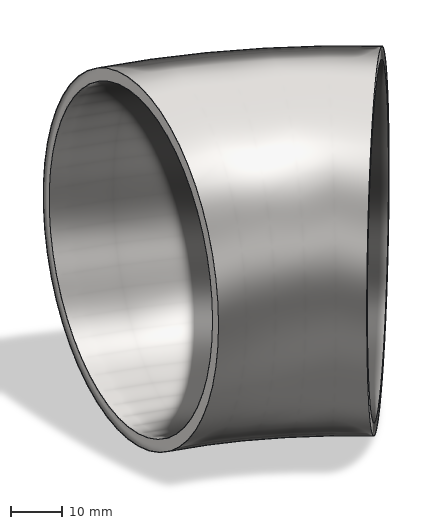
import cadquery as cq

outer_diameter = 76.1
wall_thickness = 2.6
bend_radius = 95.0
bend_angle = 30.0

outer_radius = outer_diameter / 2
inner_radius = outer_radius - wall_thickness

result = (
    cq.Workplane("XZ")
    .circle(outer_radius)
    .circle(inner_radius)
    .revolve(bend_angle, (bend_radius, 0, 0), (bend_radius, -1, 0))
)